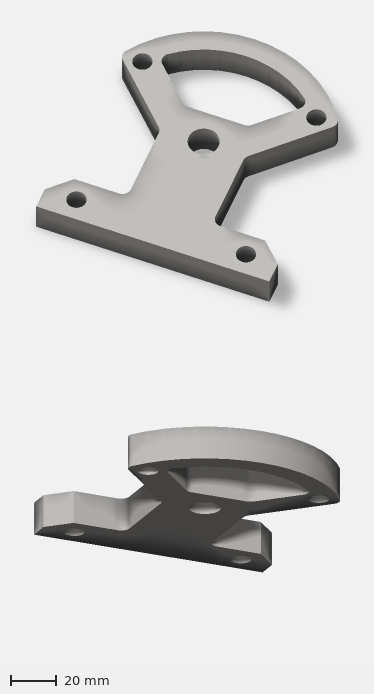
import cadquery as cq
import math

thickness = 15.0
base_width = 110.0
base_height = 20.0
base_chamfer = 10.0
neck_width = 40.0
corner_radius = 4.0

pivot_height = 60.0
outer_radius = 60.0
rim_width = 10.0
arm_width = 15.0
window_floor = 15.0

pivot_diameter = 14.0
bolt_diameter = 8.9
base_hole_spacing = 80.0
base_hole_height = 10.0
arm_hole_x = 41.0

arm_drop = arm_width * math.sqrt(2)
arm_hole_y = pivot_height + arm_hole_x - arm_drop / 2

along_arm = math.sqrt(outer_radius**2 - arm_width**2)
tip_x = (along_arm + arm_width) / math.sqrt(2)
tip_y = pivot_height + tip_x - arm_drop

half_base = base_width / 2
half_neck = neck_width / 2
neck_top = pivot_height + half_neck - arm_drop


def make_body():
    """Base flange, neck and sector as one plate with rounded corners."""
    right_side = [
        (half_base, 0),
        (half_base, base_height - base_chamfer),
        (half_base - base_chamfer, base_height),
        (half_neck, base_height),
        (half_neck, neck_top),
        (tip_x, tip_y),
    ]
    left_side = [(-x, y) for x, y in reversed(right_side)]
    body = (
        cq.Workplane("XY")
        .polyline(right_side)
        .threePointArc((0, pivot_height + outer_radius), left_side[0])
        .polyline(left_side[1:], includeCurrent=True)
        .close()
        .extrude(thickness)
    )
    rounded_corners = [
        (side * x, y, thickness / 2)
        for side in (-1, 1)
        for x, y in ((half_neck, base_height), (half_neck, neck_top), (tip_x, tip_y))
    ]
    for corner in rounded_corners:
        body = body.edges(cq.selectors.NearestToPointSelector(corner)).fillet(corner_radius)
    return body


def make_window():
    """Sector-shaped opening between the rim and the arms."""
    inner_radius = outer_radius - rim_width
    corner = inner_radius / math.sqrt(2)
    return (
        cq.Workplane("XY")
        .moveTo(-window_floor, pivot_height + window_floor)
        .lineTo(window_floor, pivot_height + window_floor)
        .lineTo(corner, pivot_height + corner)
        .threePointArc((0, pivot_height + inner_radius), (-corner, pivot_height + corner))
        .close()
        .extrude(thickness)
        .edges("|Z")
        .fillet(corner_radius)
    )


def make_holes(diameter, centers):
    """Cylinders through the plate at the given centres."""
    return cq.Workplane("XY").pushPoints(centers).circle(diameter / 2).extrude(thickness)


bolt_centers = [
    (side * x, y)
    for side in (-1, 1)
    for x, y in ((base_hole_spacing / 2, base_hole_height), (arm_hole_x, arm_hole_y))
]

result = (
    make_body()
    .cut(make_window())
    .cut(make_holes(pivot_diameter, [(0, pivot_height)]))
    .cut(make_holes(bolt_diameter, bolt_centers))
)